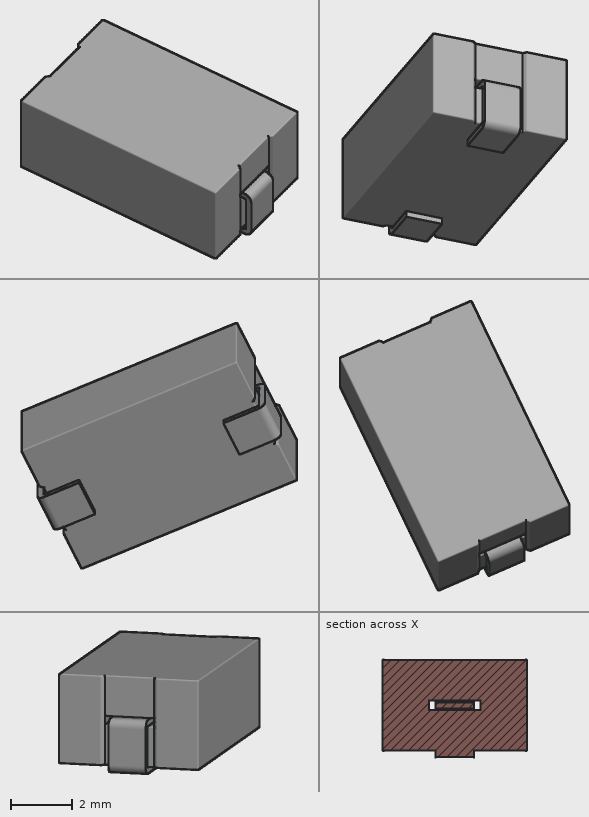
import cadquery as cq
import math

overall_length = 8.2
body_width = 4.75
overall_height = 3.2

strap_thickness = 0.21
strap_width = 1.26
strap_top = 1.795
strap_bend_radius = 0.27
strap_inner_radius = strap_bend_radius - strap_thickness
pad_length = 1.5

body_length = overall_length - 2 * strap_thickness
body_bottom = strap_thickness
body_height = overall_height - body_bottom
edge_radius = 0.05
recess_corner_radius = 0.04

recess_depth = 0.11
recess_floor_width = 1.67
recess_mouth_width = recess_floor_width + 2 * recess_depth

clearance_above = 0.05
clearance_below = 0.025
slot_top = strap_top + clearance_above
slot_height = strap_thickness + clearance_above + clearance_below
slot_center = slot_top - slot_height / 2


def make_block():
    """Rounded core block with a full-height recess in each end."""
    end_x = body_length / 2
    floor_x = end_x - recess_depth
    side_y = body_width / 2
    mouth_y = recess_mouth_width / 2
    floor_y = recess_floor_width / 2
    right_end = [
        (end_x, -side_y),
        (end_x, -mouth_y),
        (floor_x, -floor_y),
        (floor_x, floor_y),
        (end_x, mouth_y),
        (end_x, side_y),
    ]
    left_end = [(-x, -y) for x, y in right_end]
    block = (
        cq.Workplane("XY")
        .workplane(offset=body_bottom)
        .polyline(right_end + left_end)
        .close()
        .extrude(body_height)
    )
    mouth_corners = block.edges("|Z").filter(lambda edge: math.isclose(abs(edge.Center().y), mouth_y))
    block = mouth_corners.fillet(recess_corner_radius)
    side_corners = block.edges("|Z").filter(lambda edge: math.isclose(abs(edge.Center().y), side_y))
    rims = block.faces("<Z or >Z").edges()
    return side_corners.add(rims).fillet(edge_radius)


def cut_slot(block):
    """Cut the strap slot through the core and round its long mouth edges."""
    slot = cq.Workplane("XY").box(body_length, recess_floor_width, slot_height)
    slotted = block.cut(slot.translate((0, 0, slot_center)))
    mouth_edges = slotted.edges("|Y").filter(
        lambda edge: abs(edge.Center().z - slot_center) < slot_height
    )
    return mouth_edges.fillet(edge_radius)


def make_strap():
    """Bent strap: through the slot, down both ends and under the core."""
    outer = (
        cq.Workplane("XY")
        .box(overall_length, strap_width, strap_top, centered=(True, True, False))
        .edges("|Y")
        .fillet(strap_bend_radius)
    )
    inner = (
        cq.Workplane("XY")
        .workplane(offset=strap_thickness)
        .box(
            body_length,
            strap_width,
            strap_top - 2 * strap_thickness,
            centered=(True, True, False),
        )
        .edges("|Y")
        .fillet(strap_inner_radius)
    )
    pad_gap = cq.Workplane("XY").box(
        overall_length - 2 * pad_length,
        strap_width,
        strap_thickness,
        centered=(True, True, False),
    )
    return outer.cut(inner).cut(pad_gap)


result = cut_slot(make_block()).union(make_strap())